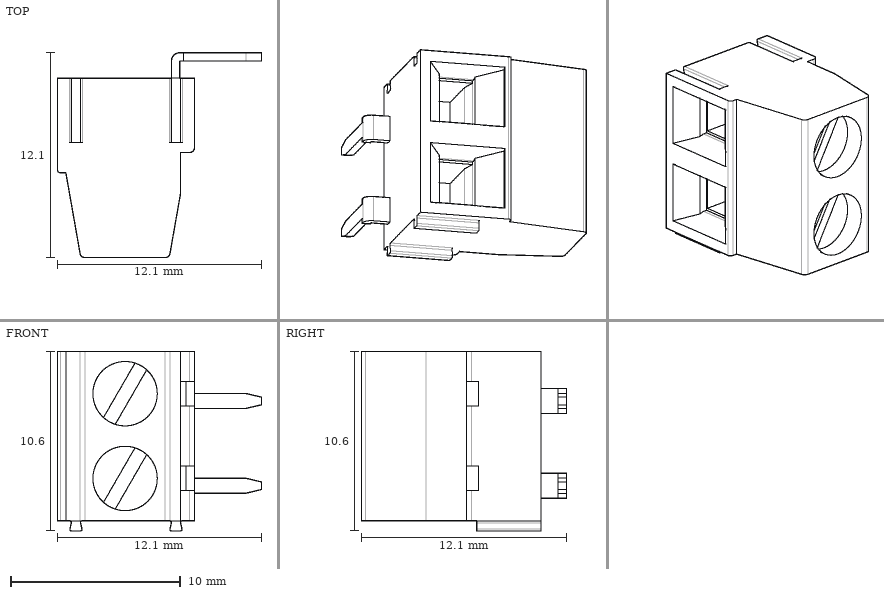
import cadquery as cq
import math


POLE_COUNT = 2
PITCH = 5.0
ROW_LENGTH = POLE_COUNT * PITCH
POLE_CENTRES = [PITCH * (index + 0.5) for index in range(POLE_COUNT)]

BODY_WIDTH = 8.1
BODY_DEPTH = 10.6
TAPER_ANGLE = 10.0
ENTRY_LEDGE_Y = 5.0
ENTRY_LEDGE_WIDTH = 0.5
FOOT_LEDGE_Y = 6.2
FOOT_LEDGE_WIDTH = 0.82
FOOT_TAPER_Y = 3.8
SCREW_FACE_FILLET = 0.3
ENTRY_LEDGE_FILLET = 0.2
FOOT_LEDGE_FILLET = 0.3

DOVETAIL_CENTRES = (1.1, 7.0)
DOVETAIL_NECK = 0.5
DOVETAIL_BASE = 0.78
DOVETAIL_HEIGHT = 0.6
DOVETAIL_LENGTH = 3.8
DOVETAIL_FILLET = 0.1

SCREW_X = 4.0
SCREW_DIAMETER = 3.8
SCREW_RECESS = 1.2
SLOT_WIDTH = 0.8
SLOT_DEPTH = 0.5
SLOT_ANGLE = 60.0

FUNNEL_FRONT_Y = 5.42
FUNNEL_BACK_Y = 10.0
FUNNEL_HEIGHT = 3.66
FUNNEL_LIP = 0.3
FUNNEL_SIDE_DEPTH = 1.3
FUNNEL_END_DEPTH = 1.6
THROAT_FRONT_Y = 6.9
THROAT_BACK_Y = 9.08
THROAT_HEIGHT = 2.8
THROAT_DEPTH = 1.84
CLAMP_DEPTH = 6.0
CLAMP_RAMP_END = 2.8
CLAMP_FRONT_Y = 7.12
CLAMP_BACK_Y = 9.0
CLAMP_HEIGHT = 2.5

NOTCH_WIDTH = 1.45
NOTCH_RAMP = 0.32
NOTCH_DEPTH = 0.7

PIN_OFFSET = -0.43
PIN_THICKNESS = 0.5
PIN_X = 6.73
PIN_OUTER_Y = 12.1
PIN_TIP_X = 12.05
PIN_LEG_WIDTH = 1.5
PIN_SHANK_X = 7.45
PIN_SHANK_WIDTH = 0.9
PIN_TAPER_X = 11.12
PIN_TIP_WIDTH = 0.46
PIN_BEND_RADIUS = 0.5
PIN_EMBEDDING = 0.5


def make_housing():
    slope = math.tan(math.radians(TAPER_ANGLE))
    foot_x = BODY_WIDTH - FOOT_LEDGE_WIDTH
    outline = [
        (0, BODY_DEPTH),
        (0, ENTRY_LEDGE_Y),
        (ENTRY_LEDGE_WIDTH, ENTRY_LEDGE_Y),
        (ENTRY_LEDGE_WIDTH + ENTRY_LEDGE_Y * slope, 0),
        (foot_x - FOOT_TAPER_Y * slope, 0),
        (foot_x, FOOT_TAPER_Y),
        (foot_x, FOOT_LEDGE_Y),
        (BODY_WIDTH, FOOT_LEDGE_Y),
        (BODY_WIDTH, BODY_DEPTH),
    ]
    housing = cq.Workplane("XY").polyline(outline).close().extrude(ROW_LENGTH)
    housing = housing.faces("<Y").edges("|Z").fillet(SCREW_FACE_FILLET)
    entry_edge = cq.selectors.NearestToPointSelector((0, ENTRY_LEDGE_Y, ROW_LENGTH / 2))
    housing = housing.edges(entry_edge).fillet(ENTRY_LEDGE_FILLET)
    foot_edge = cq.selectors.NearestToPointSelector((BODY_WIDTH, FOOT_LEDGE_Y, ROW_LENGTH / 2))
    return housing.edges(foot_edge).fillet(FOOT_LEDGE_FILLET)


def make_dovetail(centre_x, neck_z):
    """Dovetail bar reaching down from its neck at neck_z, open at the pin face."""
    profile = [
        (centre_x - DOVETAIL_NECK / 2, neck_z),
        (centre_x + DOVETAIL_NECK / 2, neck_z),
        (centre_x + DOVETAIL_BASE / 2, neck_z - DOVETAIL_HEIGHT),
        (centre_x - DOVETAIL_BASE / 2, neck_z - DOVETAIL_HEIGHT),
    ]
    pin_face = cq.Workplane("XZ", origin=(0, BODY_DEPTH, 0))
    bar = pin_face.polyline(profile).close().extrude(DOVETAIL_LENGTH)
    return bar.faces("<Z").edges("|Y").fillet(DOVETAIL_FILLET)


def round_dovetail_necks(body, neck_z):
    """Round the long edges where the dovetails meet the end face at neck_z."""
    middle_y = BODY_DEPTH - DOVETAIL_LENGTH / 2
    for centre_x in DOVETAIL_CENTRES:
        for side in (-1, 1):
            neck_point = (centre_x + side * DOVETAIL_NECK / 2, middle_y, neck_z)
            body = body.edges(cq.selectors.NearestToPointSelector(neck_point)).fillet(DOVETAIL_FILLET)
    return body


def make_screw_recess(pole_z):
    face = cq.Workplane("XZ", origin=(SCREW_X, 0, pole_z))
    recess = face.circle(SCREW_DIAMETER / 2).extrude(-(SCREW_RECESS + SLOT_DEPTH))
    bore = face.circle(SCREW_DIAMETER / 2).extrude(-SCREW_RECESS)
    slot = face.transformed(rotate=(0, 0, SLOT_ANGLE)).rect(SCREW_DIAMETER, SLOT_WIDTH)
    slot = slot.extrude(-(SCREW_RECESS + SLOT_DEPTH))
    return bore.union(slot.intersect(recess))


def make_wire_entry(pole_z):
    plan = [
        (0, FUNNEL_FRONT_Y),
        (FUNNEL_LIP, FUNNEL_FRONT_Y),
        (FUNNEL_SIDE_DEPTH, THROAT_FRONT_Y),
        (THROAT_DEPTH, THROAT_FRONT_Y),
        (THROAT_DEPTH, THROAT_BACK_Y),
        (FUNNEL_SIDE_DEPTH, THROAT_BACK_Y),
        (0, FUNNEL_BACK_Y),
    ]
    elevation = [
        (0, -FUNNEL_HEIGHT / 2),
        (FUNNEL_END_DEPTH, -THROAT_HEIGHT / 2),
        (THROAT_DEPTH, -THROAT_HEIGHT / 2),
        (THROAT_DEPTH, THROAT_HEIGHT / 2),
        (FUNNEL_END_DEPTH, THROAT_HEIGHT / 2),
        (0, FUNNEL_HEIGHT / 2),
    ]
    clamp_plan = [
        (THROAT_DEPTH, THROAT_FRONT_Y),
        (CLAMP_RAMP_END, CLAMP_FRONT_Y),
        (CLAMP_DEPTH, CLAMP_FRONT_Y),
        (CLAMP_DEPTH, CLAMP_BACK_Y),
        (THROAT_DEPTH, CLAMP_BACK_Y),
    ]
    centre_plane = cq.Workplane("XY", origin=(0, 0, pole_z))
    funnel = centre_plane.polyline(plan).close().extrude(FUNNEL_HEIGHT / 2, both=True)
    side_plane = cq.Workplane("XZ", origin=(0, 0, pole_z))
    funnel = funnel.intersect(side_plane.polyline(elevation).close().extrude(-BODY_DEPTH))
    clamp = centre_plane.polyline(clamp_plan).close().extrude(CLAMP_HEIGHT / 2, both=True)
    return funnel.union(clamp)


def make_notch(pole_z):
    foot_x = BODY_WIDTH - FOOT_LEDGE_WIDTH
    plan = [
        (foot_x, FOOT_LEDGE_Y),
        (foot_x + NOTCH_RAMP, FOOT_LEDGE_Y + NOTCH_DEPTH),
        (BODY_WIDTH, FOOT_LEDGE_Y + NOTCH_DEPTH),
        (BODY_WIDTH, FOOT_LEDGE_Y),
    ]
    plane = cq.Workplane("XY", origin=(0, 0, pole_z))
    return plane.polyline(plan).close().extrude(NOTCH_WIDTH / 2, both=True)


def make_pin(pole_z):
    centre_z = pole_z + PIN_OFFSET
    inner_x = PIN_X + PIN_THICKNESS
    inner_y = PIN_OUTER_Y - PIN_THICKNESS
    root_y = BODY_DEPTH - PIN_EMBEDDING
    plan = [
        (PIN_X, root_y),
        (PIN_X, PIN_OUTER_Y),
        (PIN_SHANK_X, PIN_OUTER_Y),
        (PIN_SHANK_X, inner_y),
        (inner_x, inner_y),
        (inner_x, root_y),
    ]
    leg = cq.Workplane("XY", origin=(0, 0, centre_z)).polyline(plan).close()
    leg = leg.extrude(PIN_LEG_WIDTH / 2, both=True)
    bend_edge = cq.selectors.NearestToPointSelector((PIN_X, PIN_OUTER_Y, centre_z))
    leg = leg.edges(bend_edge).fillet(PIN_BEND_RADIUS)
    shank_outline = [
        (PIN_SHANK_X, -PIN_SHANK_WIDTH / 2),
        (PIN_TAPER_X, -PIN_SHANK_WIDTH / 2),
        (PIN_TIP_X, -PIN_TIP_WIDTH / 2),
        (PIN_TIP_X, PIN_TIP_WIDTH / 2),
        (PIN_TAPER_X, PIN_SHANK_WIDTH / 2),
        (PIN_SHANK_X, PIN_SHANK_WIDTH / 2),
    ]
    shank = cq.Workplane("XZ", origin=(0, PIN_OUTER_Y, centre_z)).polyline(shank_outline).close()
    return leg.union(shank.extrude(PIN_THICKNESS))


def make_terminal_block():
    block = make_housing()
    for centre_x in DOVETAIL_CENTRES:
        block = block.cut(make_dovetail(centre_x, ROW_LENGTH))
        block = block.union(make_dovetail(centre_x, 0))
    for end_z in (0, ROW_LENGTH):
        block = round_dovetail_necks(block, end_z)
    for pole_z in POLE_CENTRES:
        block = block.cut(make_screw_recess(pole_z))
        block = block.cut(make_wire_entry(pole_z))
        block = block.cut(make_notch(pole_z))
        block = block.union(make_pin(pole_z))
    return block


result = make_terminal_block()